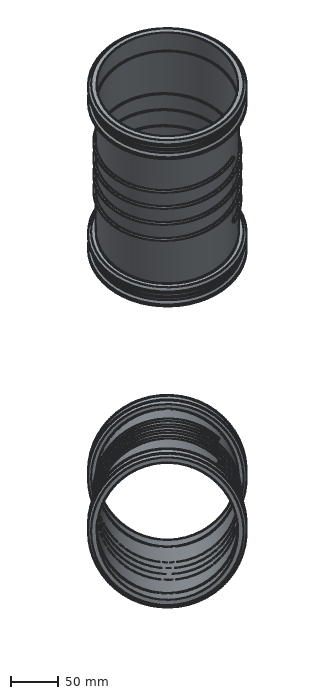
import cadquery as cq

TOTAL_LENGTH = 258.8
BORE_DIAMETER = 150.0
TUBE_DIAMETER = 152.0

COLLAR_LENGTH = 29.2
BAND_DIAMETER = 161.8
FLANGE_DIAMETER = 168.5
FLANGE_WIDTH = 9.0
CREST_WIDTH = 2.8
RIB_DIAMETER = 163.5
RIB_WIDTH = 0.8

HELIX_HEIGHT = 100.0
HELIX_TURNS = 4
WIRE_DIAMETER = 2.8
HELIX_OUTER_DIAMETER = 157.0

BORE_RADIUS = BORE_DIAMETER / 2
TUBE_LENGTH = TOTAL_LENGTH - 2 * COLLAR_LENGTH


def ring(outer_diameter, bottom, length):
    """Plain ring around the Z axis with the common bore."""
    return (
        cq.Workplane("XY", origin=(0, 0, bottom))
        .circle(outer_diameter / 2)
        .circle(BORE_RADIUS)
        .extrude(length)
    )


def flange(bottom):
    """Raised ring with a flat crest and a bevel on each side."""
    crest_radius = FLANGE_DIAMETER / 2
    band_radius = BAND_DIAMETER / 2
    bevel_width = (FLANGE_WIDTH - CREST_WIDTH) / 2
    top = bottom + FLANGE_WIDTH
    outline = [
        (BORE_RADIUS, bottom),
        (band_radius, bottom),
        (crest_radius, bottom + bevel_width),
        (crest_radius, top - bevel_width),
        (band_radius, top),
        (BORE_RADIUS, top),
    ]
    return cq.Workplane("XZ").polyline(outline).close().revolve(360, (0, 0), (0, 1))


def make_collar(bottom):
    """End collar: a band with a flange at each edge and a thin rib midway."""
    band = ring(BAND_DIAMETER, bottom, COLLAR_LENGTH)
    rib = ring(RIB_DIAMETER, bottom + (COLLAR_LENGTH - RIB_WIDTH) / 2, RIB_WIDTH)
    lower_flange = flange(bottom)
    upper_flange = flange(bottom + COLLAR_LENGTH - FLANGE_WIDTH)
    return band.union(rib).union(lower_flange).union(upper_flange)


def make_helical_rib():
    """Round rib wound right-handed, starting and ending on the +X side."""
    pitch = HELIX_HEIGHT / HELIX_TURNS
    start = (TOTAL_LENGTH - HELIX_HEIGHT) / 2
    radius = (HELIX_OUTER_DIAMETER - WIRE_DIAMETER) / 2
    path = cq.Wire.makeHelix(pitch, HELIX_HEIGHT, radius, cq.Vector(0, 0, start))
    return (
        cq.Workplane("XZ", origin=(0, 0, start))
        .center(radius, 0)
        .circle(WIRE_DIAMETER / 2)
        .sweep(cq.Workplane(path), isFrenet=True)
    )


def make_tube():
    """Thin tube between the collars, carrying the helical rib."""
    wall = ring(TUBE_DIAMETER, COLLAR_LENGTH, TUBE_LENGTH)
    return wall.union(make_helical_rib())


tube = make_tube()
collars = [make_collar(bottom) for bottom in (0, TOTAL_LENGTH - COLLAR_LENGTH)]

result = cq.Compound.makeCompound([tube.val(), *[collar.val() for collar in collars]])